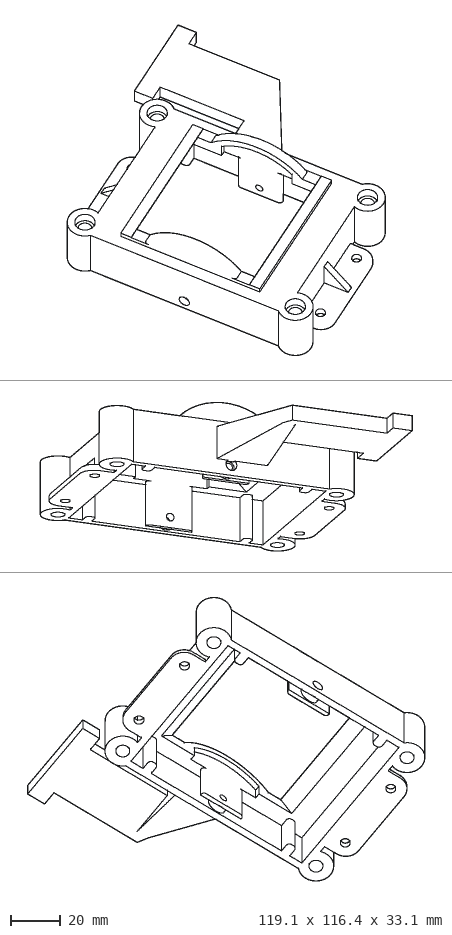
import cadquery as cq

BODY_X = 90.0
BODY_Y = 73.5
BODY_HEIGHT = 22.5
SIDE_WALL = 3.0
TOP_WALL = 3.7
WALL_INNER_Y = BODY_Y / 2 - SIDE_WALL
CEILING_Z = BODY_HEIGHT - TOP_WALL

RIM_X = 62.7
RIM_Y = 63.1
RIM_HEIGHT = 2.0
RIM_STEP = 0.2
RIM_TOP_Z = BODY_HEIGHT + RIM_HEIGHT
WINDOW = 53.3
WINDOW_LIP = 0.4

POST_DIAMETER = 14.3
POST_X = 47.5
POST_Y = 31.7
POST_BORE = 5.6
POST_COUNTERBORE = 8.1
POST_COUNTERBORE_DEPTH = 4.0

FOOT_OUTER_X = 57.3
FOOT_LENGTH = 44.3
FOOT_THICKNESS = 3.0
FOOT_CORNER = 6.3
FOOT_ROUNDING = 1.4
FOOT_HOLE = 3.9
FOOT_HOLE_X = 50.7
FOOT_HOLE_Y = 15.8
GUSSET_WIDTH = 3.0
GUSSET_HEIGHT = 10.4

AXIS_Z = 4.5
ARCH_RADIUS = 28.6
ARCH_BAND = 3.0
ARCH_FILLET = 1.2
ARCH_THICKNESS = (RIM_Y - WINDOW) / 2
RECESS_WIDTH = 31.8
RECESS_DEPTH = 2.3
RECESS_FACE_Y = WINDOW / 2 + RECESS_DEPTH

TAB_WIDTH = 20.0
TAB_THICKNESS = 1.8
INNER_CORNER = 1.5
BOSS_DIAMETER = 7.9
PIN_BORE = 3.2
PIN_WALL_BORE = 4.6

RIB_X = 34.0
RIB_WIDTH = 4.0

ARM_TOP_Z = 20.1
ARM_THICKNESS = 6.4
ARM_BOTTOM_Z = ARM_TOP_Z - ARM_THICKNESS
BAR_OUTER_X = -61.8
BAR_INNER_X = -53.5
BAR_MIN_Y = 39.3
BAR_MAX_Y = 77.6
BAR_OVERHANG = 6.5
ARM_MIN_Y = BAR_MIN_Y + BAR_OVERHANG
ARM_MAX_Y = BAR_MAX_Y - BAR_OVERHANG
NECK_X = -15.6
ARM_CORNER_X = -12.5
ARM_ROOT_X = 6.3
WEDGE_TIP_Y = 66.8
WEDGE_ROOT_Z = 6.3

OVERLAP = 1.2


def block(x_min, x_max, y_min, y_max, z_min, z_max):
    """Box given by its limits along each axis."""
    box = cq.Workplane("XY").box(x_max - x_min, y_max - y_min, z_max - z_min, centered=False)
    return box.translate((x_min, y_min, z_min))


def disc_along_y(diameter, y_min, y_max):
    """Cylinder along Y, centred on the pin axis."""
    plane = cq.Workplane("XZ", origin=(0, y_min, AXIS_Z))
    return plane.circle(diameter / 2).extrude(y_min - y_max)


def both_y_sides(solid):
    """A solid together with its mirror image across the XZ plane."""
    return solid.union(solid.mirror("XZ"))


def both_x_sides(solid):
    """A solid together with its mirror image across the YZ plane."""
    return solid.union(solid.mirror("YZ"))


def make_window_bevel():
    """Prism that bevels the underside of the +X window edge at 45 degrees, leaving a thin lip."""
    edge_x = WINDOW / 2
    lip_z = RIM_TOP_Z - WINDOW_LIP
    profile = [(edge_x, CEILING_Z), (edge_x, lip_z), (edge_x + lip_z - CEILING_Z, CEILING_Z)]
    return cq.Workplane("XZ").polyline(profile).close().extrude(WINDOW / 2, both=True)


def make_shell():
    """Body, posts and rim, hollowed from below and opened by the window."""
    posts = cq.Workplane("XY").rect(2 * POST_X, 2 * POST_Y, forConstruction=True).vertices()
    shell = cq.Workplane("XY").rect(BODY_X, BODY_Y).extrude(BODY_HEIGHT)
    shell = shell.union(posts.circle(POST_DIAMETER / 2).extrude(BODY_HEIGHT))
    shell = shell.union(cq.Workplane("XY").rect(RIM_X, RIM_Y).extrude(RIM_TOP_Z))
    cavity = cq.Workplane("XY").rect(BODY_X - 2 * SIDE_WALL, 2 * WALL_INNER_Y).extrude(CEILING_Z)
    low_rim = cq.Workplane("XY", origin=(0, 0, RIM_TOP_Z - RIM_STEP)).rect(WINDOW, RIM_Y).extrude(RIM_STEP)
    window = cq.Workplane("XY").rect(WINDOW, WINDOW).extrude(RIM_TOP_Z)
    return (
        shell.cut(cavity).cut(low_rim).cut(window).cut(both_x_sides(make_window_bevel()))
        .copyWorkplane(cq.Workplane("XY", origin=(0, 0, BODY_HEIGHT)))
        .rect(2 * POST_X, 2 * POST_Y, forConstruction=True).vertices()
        .cboreHole(POST_BORE, POST_COUNTERBORE, POST_COUNTERBORE_DEPTH)
    )


def make_arch():
    """Arch segment standing on the +Y side of the rim, with its outer edge rounded."""
    y_min = WINDOW / 2
    disc = disc_along_y(2 * ARCH_RADIUS, y_min, y_min + ARCH_THICKNESS)
    disc = disc.faces(">Y").edges().fillet(ARCH_FILLET)
    above_rim = block(-ARCH_RADIUS, ARCH_RADIUS, y_min, RIM_Y / 2, CEILING_Z, AXIS_Z + ARCH_RADIUS)
    return disc.intersect(above_rim)


def make_arch_recess():
    """Shallow round-topped recess in the inner face of the +Y arch, open at its bottom."""
    disc = disc_along_y(2 * (ARCH_RADIUS - ARCH_BAND), WINDOW / 2, RECESS_FACE_Y)
    half = RECESS_WIDTH / 2
    return disc.intersect(block(-half, half, 0, RECESS_FACE_Y, CEILING_Z, AXIS_Z + ARCH_RADIUS))


def make_tab():
    """Tab hanging below the +Y recess, and the boss between it and the wall."""
    half = TAB_WIDTH / 2
    tab_back_y = RECESS_FACE_Y + TAB_THICKNESS
    tab = block(-half, half, RECESS_FACE_Y, tab_back_y, 0, CEILING_Z + OVERLAP)
    tab = tab.edges("|Z and <Y").fillet(INNER_CORNER)
    boss = disc_along_y(BOSS_DIAMETER, RECESS_FACE_Y + INNER_CORNER, WALL_INNER_Y + OVERLAP)
    return tab.union(boss)


def make_rib():
    """Vertical rib with rounded corners on the inside of the +Y wall."""
    half = RIB_WIDTH / 2
    y_max = WALL_INNER_Y + OVERLAP
    rib = block(RIB_X - half, RIB_X + half, RECESS_FACE_Y, y_max, 0, CEILING_Z + OVERLAP)
    return rib.edges("|Z and <Y").fillet(INNER_CORNER)


def make_pin_bore():
    """Stepped bore through the +Y wall, boss and tab."""
    narrow = disc_along_y(PIN_BORE, RECESS_FACE_Y, BODY_Y / 2)
    return narrow.union(disc_along_y(PIN_WALL_BORE, WALL_INNER_Y, BODY_Y / 2))


def make_foot():
    """Foot on the +X side with two screw holes and a triangular gusset."""
    half = FOOT_LENGTH / 2
    wall_x = BODY_X / 2
    foot = block(wall_x - OVERLAP, FOOT_OUTER_X, -half, half, 0, FOOT_THICKNESS)
    foot = foot.edges("|Z and >X").fillet(FOOT_CORNER)
    foot = foot.faces(">Z").edges("not <X").fillet(FOOT_ROUNDING)
    hole_places = [(FOOT_HOLE_X, FOOT_HOLE_Y), (FOOT_HOLE_X, -FOOT_HOLE_Y)]
    holes = cq.Workplane("XY").pushPoints(hole_places).circle(FOOT_HOLE / 2).extrude(FOOT_THICKNESS)
    gusset_top_z = FOOT_THICKNESS + GUSSET_HEIGHT
    gusset = (
        cq.Workplane("XZ")
        .moveTo(wall_x - OVERLAP, FOOT_THICKNESS / 2)
        .lineTo(FOOT_OUTER_X - FOOT_ROUNDING, FOOT_THICKNESS / 2)
        .lineTo(FOOT_OUTER_X - FOOT_ROUNDING, FOOT_THICKNESS)
        .lineTo(wall_x, gusset_top_z)
        .lineTo(wall_x - OVERLAP, gusset_top_z)
        .close()
        .extrude(GUSSET_WIDTH / 2, both=True)
    )
    return foot.cut(holes).union(gusset)


def make_arm():
    """Flat arm reaching out from the +Y wall, thickened by a wedge under its neck."""
    wall_y = BODY_Y / 2
    root_y = wall_y - OVERLAP
    neck_outline = [
        (NECK_X, root_y),
        (ARM_ROOT_X, root_y),
        (ARM_ROOT_X, wall_y),
        (ARM_CORNER_X, ARM_MAX_Y),
        (NECK_X, ARM_MAX_Y),
    ]
    neck = cq.Workplane("XY").polyline(neck_outline).close().extrude(ARM_TOP_Z)
    wedge_profile = [
        (root_y, ARM_TOP_Z),
        (ARM_MAX_Y, ARM_TOP_Z),
        (ARM_MAX_Y, ARM_BOTTOM_Z),
        (WEDGE_TIP_Y, ARM_BOTTOM_Z),
        (wall_y, WEDGE_ROOT_Z),
        (root_y, WEDGE_ROOT_Z),
    ]
    wedge_limits = cq.Workplane("YZ", origin=(NECK_X, 0, 0)).polyline(wedge_profile).close()
    neck = neck.intersect(wedge_limits.extrude(ARM_ROOT_X - NECK_X))
    beam = block(BAR_INNER_X, NECK_X, ARM_MIN_Y, ARM_MAX_Y, ARM_BOTTOM_Z, ARM_TOP_Z)
    crossbar = block(BAR_OUTER_X, BAR_INNER_X, BAR_MIN_Y, BAR_MAX_Y, ARM_BOTTOM_Z, ARM_TOP_Z)
    return neck.union(beam).union(crossbar)


result = make_shell()
for side_piece in (make_arch(), make_tab(), both_x_sides(make_rib())):
    result = result.union(both_y_sides(side_piece))
result = result.cut(both_y_sides(make_arch_recess()))
result = result.cut(both_y_sides(make_pin_bore()))
result = result.union(both_x_sides(make_foot()))
result = result.union(make_arm())